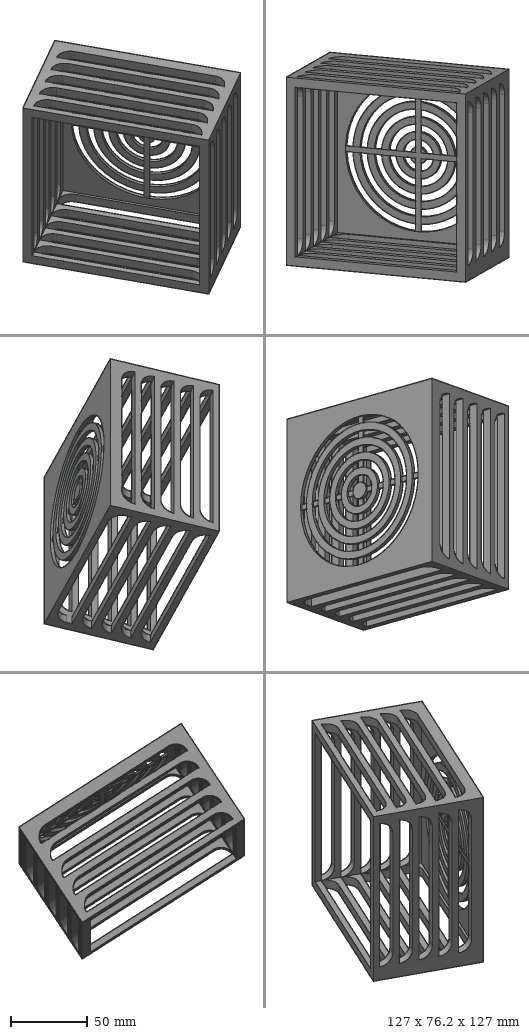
import cadquery as cq

SIDE = 127.0
DEPTH = 76.2
WALL = 6.4
PLATE = 2.5
CENTER = SIDE / 2
INNER = SIDE - 2 * WALL
PLATE_FRONT = DEPTH - PLATE

SLOT_COUNT = 5
SLOT_WIDTH = 9.1
SLOT_RADIUS = 9.0
FIRST_SLOT = 4.3
LAST_SLOT = 58.9
SLOT_PITCH = (LAST_SLOT - FIRST_SLOT) / (SLOT_COUNT - 1)
SHORT_SLOT_RISE = 4.1
FLOOR_SLOT_EXTRA = 3.8

OPENING_DIAMETER = 102.9
DISC_DIAMETER = 11.4
RING_COUNT = 4
RING_WIDTH = 5.1
RING_GAP = 5.1
BAR_WIDTH = 3.8
BAR_DEPTH = PLATE / 2


def slot_cutter(length, width):
    """Slot one wall deep, its length along X, with the two rear corners rounded."""
    block = cq.Workplane("XY").box(length, width, WALL, centered=False)
    return block.edges("|Z and >Y").fillet(SLOT_RADIUS)


def stand_up(cutter):
    """Turn a slot cutter so that its length runs along Z and its depth along +X."""
    return cutter.rotate((0, 0, 0), (0, 1, 0), -90).translate((WALL, 0, 0))


def plate_disc(diameter):
    """Round disc as thick as the back plate, in the middle of that plate."""
    plane = cq.Workplane("XZ", origin=(CENTER, DEPTH, CENTER))
    return plane.circle(diameter / 2).extrude(PLATE)


def make_housing():
    body = cq.Workplane("XY").box(SIDE, DEPTH, SIDE, centered=False)
    cavity = cq.Workplane("XY").box(INNER, PLATE_FRONT, INNER, centered=False)
    body = body.cut(cavity.translate((WALL, 0, WALL)))
    body = body.cut(plate_disc(OPENING_DIAMETER))

    long_slot = slot_cutter(INNER, SLOT_WIDTH)
    wide_slot = slot_cutter(INNER, SLOT_WIDTH + FLOOR_SLOT_EXTRA)
    short_slot = slot_cutter(INNER - SHORT_SLOT_RISE, SLOT_WIDTH)
    for i in range(SLOT_COUNT):
        y = FIRST_SLOT + i * SLOT_PITCH
        is_rearmost = i == SLOT_COUNT - 1
        floor_slot = wide_slot if is_rearmost else long_slot
        body = body.cut(floor_slot.translate((WALL, y, 0)))
        body = body.cut(long_slot.translate((WALL, y, SIDE - WALL)))
        body = body.cut(stand_up(long_slot).translate((0, y, WALL)))
        body = body.cut(stand_up(short_slot).translate((SIDE - WALL, y, WALL + SHORT_SLOT_RISE)))
    return body


def make_cross():
    """Two crossing bars, trimmed to the round opening and flush with the plate's front."""
    bars = cq.Workplane("XY").box(SIDE, BAR_DEPTH, BAR_WIDTH)
    bars = bars.union(cq.Workplane("XY").box(BAR_WIDTH, BAR_DEPTH, SIDE))
    bars = bars.translate((CENTER, PLATE_FRONT + BAR_DEPTH / 2, CENTER))
    return bars.intersect(plate_disc(OPENING_DIAMETER))


def make_ring(inner_diameter, cross):
    """Ring as thick as the plate, notched at the front where the cross lies in it."""
    ring = plate_disc(inner_diameter + 2 * RING_WIDTH).cut(plate_disc(inner_diameter))
    return ring.cut(cross)


housing = make_housing()
cross = make_cross()
center_disc = plate_disc(DISC_DIAMETER).cut(cross)
rings = []
for i in range(RING_COUNT):
    inner_diameter = DISC_DIAMETER + 2 * RING_GAP + 2 * i * (RING_WIDTH + RING_GAP)
    rings.append(make_ring(inner_diameter, cross))

result = cq.Compound.makeCompound(
    [housing.val(), cross.val(), center_disc.val(), *[ring.val() for ring in rings]]
)